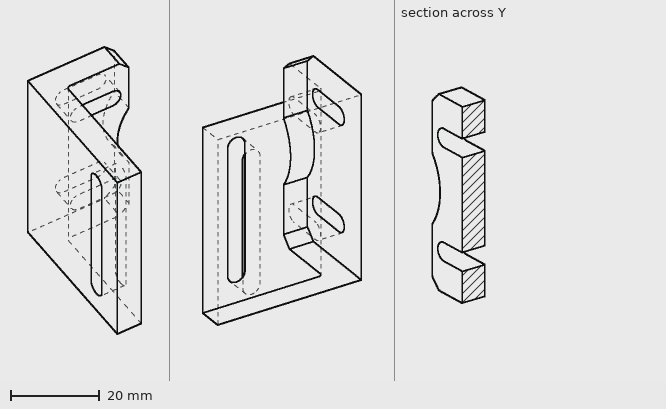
import cadquery as cq

LENGTH = 38.1
DEPTH = 22.86
HEIGHT = 48.26
THICKNESS = 6.35
INNER_FILLET = 1.0
CORNER_CHAMFER = 2.54

SLOT_WIDTH = 4.572
LONG_SLOT_CENTERS = 33.02
LONG_SLOT_X = 29.21
SHORT_SLOT_CENTERS = 8.89
SHORT_SLOT_Y = 13.97
SHORT_SLOT_SPACING = 27.94

RELIEF_CHORD = 17.4
RELIEF_DEPTH = 3.0

MID_Z = HEIGHT / 2


def angle_body():
    """L-shaped section in XY, extruded along Z, with a rounded inner corner."""
    body = (
        cq.Workplane("XY")
        .polyline([
            (0, 0),
            (LENGTH, 0),
            (LENGTH, THICKNESS),
            (THICKNESS, THICKNESS),
            (THICKNESS, DEPTH),
            (0, DEPTH),
        ])
        .close()
        .extrude(HEIGHT)
    )
    inner_corner = cq.NearestToPointSelector((THICKNESS, THICKNESS, MID_Z))
    body = body.edges(inner_corner).fillet(INNER_FILLET)
    return body.faces(">Y").edges("|X").chamfer(CORNER_CHAMFER)


def long_slot():
    """Vertical slot through the main plate."""
    return (
        cq.Workplane("XZ", origin=(LONG_SLOT_X, 0, MID_Z))
        .slot2D(LONG_SLOT_CENTERS + SLOT_WIDTH, SLOT_WIDTH, 90)
        .extrude(-THICKNESS)
    )


def short_slots():
    """Pair of horizontal slots through the side flange."""
    return (
        cq.Workplane("YZ", origin=(0, SHORT_SLOT_Y, MID_Z))
        .pushPoints([(0, side * SHORT_SLOT_SPACING / 2) for side in (-1, 1)])
        .slot2D(SHORT_SLOT_CENTERS + SLOT_WIDTH, SLOT_WIDTH)
        .extrude(THICKNESS)
    )


def edge_relief():
    """Circular segment removed from the free edge of the side flange."""
    return (
        cq.Workplane("YZ")
        .moveTo(DEPTH, MID_Z - RELIEF_CHORD / 2)
        .threePointArc((DEPTH - RELIEF_DEPTH, MID_Z), (DEPTH, MID_Z + RELIEF_CHORD / 2))
        .close()
        .extrude(THICKNESS)
    )


result = angle_body().cut(long_slot()).cut(short_slots()).cut(edge_relief())